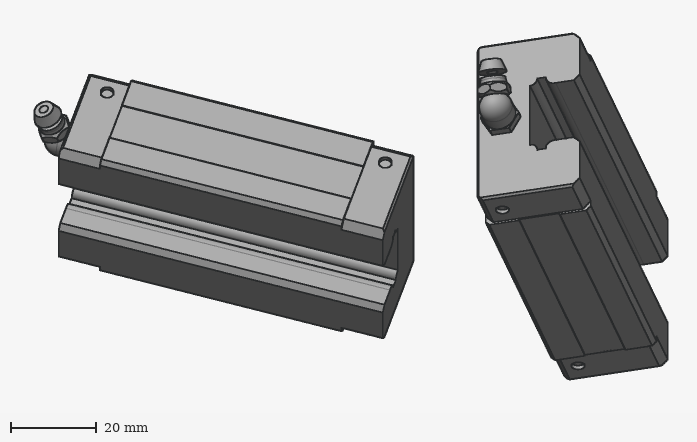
import cadquery as cq
import math


total_length = 90.6
block_length = 58.9
cap_length = 10.1
body_length = block_length + 2 * cap_length
body_end = body_length / 2
block_height = 44.0
block_depth = 25.4
cap_inset = 0.5
cap_height = block_height - 2 * cap_inset
cap_depth = block_depth - cap_inset
block_front_chamfer = 1.1
block_back_chamfer = 0.9
cap_front_chamfer = 1.9
cap_back_chamfer = 1.4
cap_end_chamfer = 0.5

relief_depth = 0.3
relief_width = 9.7
relief_center_y = 12.4
back_relief_width = 17.6

pilot_diameter = 3.1
pilot_depth = 1.1
pilot_from_end = 5.6
pilot_y = block_depth - 5.3

channel_depth = 12.0
mouth_half = 8.0
mouth_chamfer = 1.4
floor_corner_half = 8.2
groove_half = 10.0
groove_front_y = 8.15
groove_back_y = 10.2
lip_flat_end_y = 5.8
lip_wall_half = 9.4
lip_bend = (7.6, 8.6)
floor_round_mid = (10.8, 8.7)

fitting_y = block_depth - 6.6
base_across_flats = 8.0
base_length = 1.9
elbow_radius = 3.9
nipple_tilt = 22.0
nut_across_flats = 7.0
nut_start = 2.6
nut_end = 5.5
nut_edge_bevel = 0.9
core_radius = 2.7
collar_radius = 3.0
collar_start = 6.4
collar_end = 7.0
neck_radius = 0.45
head_start = 8.4
head_end = 11.1
head_base_radius = 3.35
head_tip_radius = 2.4
valve_rim_radius = 1.1
valve_rise = 0.4

tilt = math.radians(nipple_tilt)
tip_reach = head_end * math.sin(tilt) + head_tip_radius * math.cos(tilt)
ball_offset = total_length - body_length - tip_reach


def hex_corner_diameter(across_flats):
    return across_flats / math.cos(math.pi / 6)


def beveled_bar(length, depth, height, front_chamfer, back_chamfer):
    """Bar centred on X and Z with its front face on Y = 0 and its four long edges beveled."""
    bar = cq.Workplane("XY").box(length, depth, height, centered=(True, False, True))
    bar = bar.edges("|X and <Y").chamfer(front_chamfer)
    return bar.edges("|X and >Y").chamfer(back_chamfer)


def steel_block():
    block = beveled_bar(
        block_length, block_depth, block_height, block_front_chamfer, block_back_chamfer
    )
    side_relief = cq.Workplane("XY").box(block_length, relief_width, 2 * relief_depth)
    back_relief = cq.Workplane("XY").box(block_length, 2 * relief_depth, back_relief_width)
    for side in (1, -1):
        block = block.cut(side_relief.translate((0, relief_center_y, side * block_height / 2)))
    return block.cut(back_relief.translate((0, block_depth, 0)))


def end_caps():
    """Both end caps as one long bar, with the bevels and pilot holes at its two ends."""
    bar = beveled_bar(body_length, cap_depth, cap_height, cap_front_chamfer, cap_back_chamfer)
    envelope = cq.Workplane("XY").box(
        body_length, cap_depth, cap_height, centered=(True, False, True)
    )
    for end in ("<X", ">X"):
        envelope = envelope.faces(end).edges(">Y or >Z or <Z").chamfer(cap_end_chamfer)
    bar = bar.intersect(envelope)

    pilot = cq.Workplane("XY").cylinder(2 * pilot_depth, pilot_diameter / 2)
    for end in (1, -1):
        for side in (1, -1):
            pilot_x = end * (body_end - pilot_from_end)
            bar = bar.cut(pilot.translate((pilot_x, pilot_y, side * cap_height / 2)))
    return bar


def rail_channel():
    """Cutter for the rail channel: the upper half of its section, mirrored about Z = 0."""
    upper_half = (
        cq.Workplane("YZ", origin=(-body_end, 0, 0))
        .moveTo(0, 0)
        .lineTo(0, mouth_half + mouth_chamfer)
        .lineTo(mouth_chamfer, mouth_half)
        .lineTo(lip_flat_end_y, mouth_half)
        .threePointArc(lip_bend, (groove_front_y, lip_wall_half))
        .lineTo(groove_front_y, groove_half)
        .lineTo(groove_back_y, groove_half)
        .threePointArc(floor_round_mid, (channel_depth, floor_corner_half))
        .lineTo(channel_depth, 0)
        .close()
        .extrude(body_length)
    )
    return upper_half.union(upper_half.mirror("XY"))


def nipple_nut():
    """Hexagon nut with two flats facing +Y and -Y, its corners beveled at both ends."""
    nut_length = nut_end - nut_start
    corner_radius = hex_corner_diameter(nut_across_flats) / 2
    prism = (
        cq.Workplane("XY")
        .workplane(offset=nut_start)
        .polygon(6, 2 * corner_radius)
        .extrude(nut_length)
    )
    turned = (
        cq.Workplane("XY")
        .workplane(offset=nut_start)
        .circle(corner_radius)
        .extrude(nut_length)
        .edges()
        .chamfer(nut_edge_bevel)
    )
    return prism.intersect(turned)


def nipple_stem():
    """Turned stem about Z: core, cone and collar, thin neck, then the tapered head."""
    cone_base_radius = hex_corner_diameter(nut_across_flats) / 2 - nut_edge_bevel
    stem = (
        cq.Workplane("XZ")
        .moveTo(0, 0)
        .lineTo(core_radius, 0)
        .lineTo(core_radius, nut_end)
        .lineTo(cone_base_radius, nut_end)
        .lineTo(collar_radius, collar_start)
        .lineTo(collar_radius, collar_end)
        .lineTo(neck_radius, collar_end)
        .lineTo(neck_radius, head_start)
        .lineTo(head_base_radius, head_start)
        .lineTo(head_tip_radius, head_end)
        .lineTo(0, head_end)
        .close()
        .revolve(360, (0, 0, 0), (0, 1, 0))
    )
    ball_radius = (valve_rim_radius**2 + valve_rise**2) / (2 * valve_rise)
    ball_center = head_end + valve_rise - ball_radius
    return stem.union(cq.Workplane("XY").sphere(ball_radius).translate((0, 0, ball_center)))


def grease_nipple():
    base = (
        cq.Workplane("YZ", origin=(-body_end, fitting_y, 0))
        .polygon(6, hex_corner_diameter(base_across_flats))
        .extrude(-base_length)
    )
    elbow = (
        cq.Workplane("XY", origin=(-body_end, fitting_y, 0))
        .moveTo(0, 0)
        .lineTo(0, elbow_radius)
        .lineTo(-ball_offset, elbow_radius)
        .radiusArc((-ball_offset - elbow_radius, 0), -elbow_radius)
        .close()
        .revolve(360, (0, 0, 0), (1, 0, 0))
    )
    ball_place = (-body_end - ball_offset, fitting_y, 0)
    nipple = nipple_nut().union(nipple_stem())
    nipple = nipple.rotate((0, 0, 0), (0, 1, 0), -nipple_tilt).translate(ball_place)
    return base.union(elbow).union(nipple)


carriage = end_caps().union(steel_block()).cut(rail_channel())
result = carriage.union(grease_nipple())